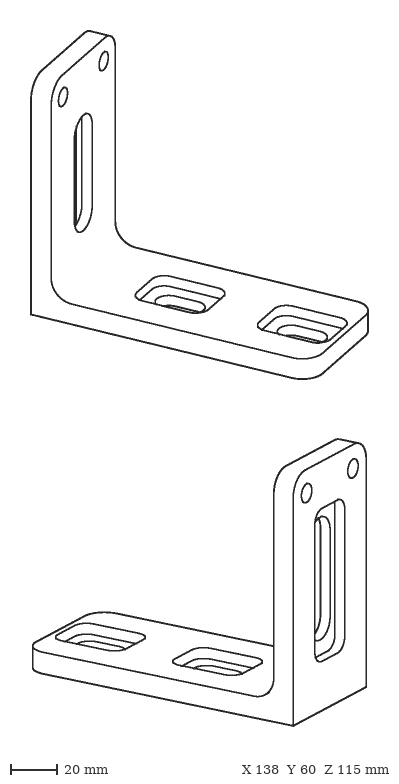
import cadquery as cq

length = 138.0
width = 60.0
height = 115.0
thickness = 10.0
inner_fillet_radius = 10.0
corner_radius = 10.0

recess_corner_radius = 6.0
recess_depth = 5.0

base_slot_length = 23.0
base_slot_width = 12.0
base_recess_length = 35.0
base_recess_width = 26.0
base_slot_pitch = 60.0
first_base_slot_x = 57.5

upright_slot_length = 56.5
upright_slot_width = 16.5
upright_recess_length = 70.5
upright_recess_width = 24.5
upright_slot_z = 58.0
hole_diameter = 8.5
hole_spacing = 38.0
hole_z = 104.0


def make_l_body():
    """L-shaped plate with a filleted inner corner and rounded free ends."""
    profile = (
        cq.Workplane("XZ")
        .moveTo(0, 0)
        .lineTo(length, 0)
        .lineTo(length, thickness)
        .lineTo(thickness + inner_fillet_radius, thickness)
        .radiusArc((thickness, thickness + inner_fillet_radius), inner_fillet_radius)
        .lineTo(thickness, height)
        .lineTo(0, height)
        .close()
    )
    body = profile.extrude(width / 2, both=True)
    body = body.faces(">X").edges("|Z").fillet(corner_radius)
    return body.faces(">Z").edges("|X").fillet(corner_radius)


def make_recessed_slot(slot_length, slot_width, recess_length, recess_width):
    """Cutter with its long side along X; the plate fills Z = -thickness to Z = 0."""
    slot = (
        cq.Workplane("XY")
        .slot2D(slot_length, slot_width)
        .extrude(-thickness)
    )
    recess = (
        cq.Workplane("XY")
        .rect(recess_length, recess_width)
        .extrude(-recess_depth)
        .edges("|Z")
        .fillet(recess_corner_radius)
    )
    return slot.union(recess)


def cut_base_slots(body):
    cutter = make_recessed_slot(base_slot_length, base_slot_width, base_recess_length, base_recess_width)
    for slot_x in (first_base_slot_x, first_base_slot_x + base_slot_pitch):
        body = body.cut(cutter.translate((slot_x, 0, thickness)))
    return body


def cut_upright_slot(body):
    cutter = make_recessed_slot(
        upright_slot_length, upright_slot_width, upright_recess_length, upright_recess_width
    )
    cutter = cutter.rotate((0, 0, 0), (0, 1, 0), -90)
    return body.cut(cutter.translate((0, 0, upright_slot_z)))


def cut_upright_holes(body):
    holes = (
        cq.Workplane("YZ")
        .pushPoints([(-hole_spacing / 2, hole_z), (hole_spacing / 2, hole_z)])
        .circle(hole_diameter / 2)
        .extrude(thickness)
    )
    return body.cut(holes)


result = make_l_body()
result = cut_base_slots(result)
result = cut_upright_slot(result)
result = cut_upright_holes(result)